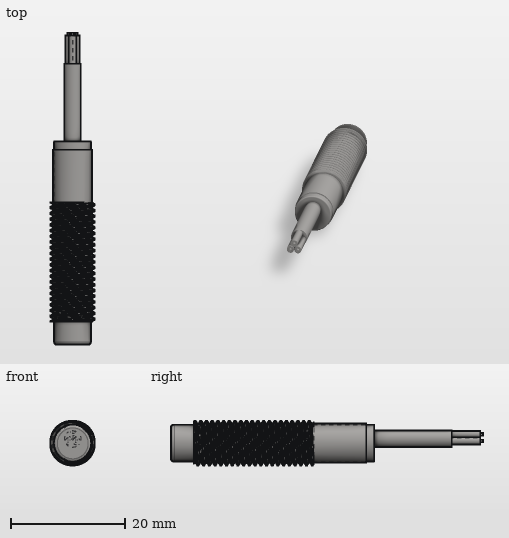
import cadquery as cq
import math

total_length = 54.7

core_diameter = 6.5
core_length = 35.65
nose_fillet = 0.55
rear_fillet = 0.2

sleeve_diameter = 6.9
sleeve_start = 4.0
sleeve_end = 34.2

thread_diameter = 7.9
thread_base_diameter = 6.75
thread_end = 25.0
thread_pitch = 1.0
thread_base_width = 0.8
thread_crest_width = 0.15

cable_diameter = 2.9
cable_offset = 0.75
wire_count = 3
wire_diameter = 1.25
wire_circle_radius = 0.75
wire_length = 5.0
conductor_diameter = 0.5
conductor_length = 0.5
jacket_end = total_length - conductor_length - wire_length


def cylinder(diameter, start, end, x=0, z=0):
    """Cylinder along +Y between two Y positions."""
    plane = cq.Plane(origin=(x, start, z), xDir=(1, 0, 0), normal=(0, 1, 0))
    return cq.Workplane(plane).circle(diameter / 2).extrude(end - start)


def make_core():
    core = cylinder(core_diameter, 0, core_length)
    return core.faces("<Y").edges().fillet(nose_fillet).faces(">Y").edges().fillet(rear_fillet)


def make_thread():
    """Helical ridge with a trapezoidal profile, cut off flat at both ends."""
    base_radius = thread_base_diameter / 2
    crest_radius = thread_diameter / 2
    half_base = thread_base_width / 2
    half_crest = thread_crest_width / 2
    helix_start = sleeve_start - thread_pitch / 2
    helix_length = thread_end - sleeve_start + 2 * thread_pitch
    helix = cq.Wire.makeHelix(thread_pitch, helix_length, base_radius)
    ridge = (
        cq.Workplane("XZ")
        .polyline([
            (base_radius, -half_base),
            (crest_radius, -half_crest),
            (crest_radius, half_crest),
            (base_radius, half_base),
        ])
        .close()
        .sweep(cq.Workplane(helix), isFrenet=True)
        .rotate((0, 0, 0), (1, 0, 0), -90)
        .translate((0, helix_start, 0))
    )
    return ridge.intersect(cylinder(2 * thread_diameter, sleeve_start, thread_end))


def make_sleeve():
    tube = cylinder(sleeve_diameter, sleeve_start, sleeve_end)
    bore = cylinder(core_diameter, sleeve_start, sleeve_end)
    return tube.cut(bore).union(make_thread())


def make_cable():
    """Jacket with three insulated wires, each ending in a bare conductor."""
    cable = cylinder(cable_diameter, core_length, jacket_end, z=cable_offset)
    wire_end = jacket_end + wire_length
    for index in range(wire_count):
        angle = 2 * math.pi * index / wire_count
        x = wire_circle_radius * math.sin(angle)
        z = cable_offset + wire_circle_radius * math.cos(angle)
        cable = cable.union(cylinder(wire_diameter, jacket_end, wire_end, x, z))
        cable = cable.union(cylinder(conductor_diameter, wire_end, total_length, x, z))
    return cable


core = make_core()
sleeve = make_sleeve()
cable = make_cable()

result = cq.Compound.makeCompound([core.solids().val(), sleeve.solids().val(), cable.solids().val()])